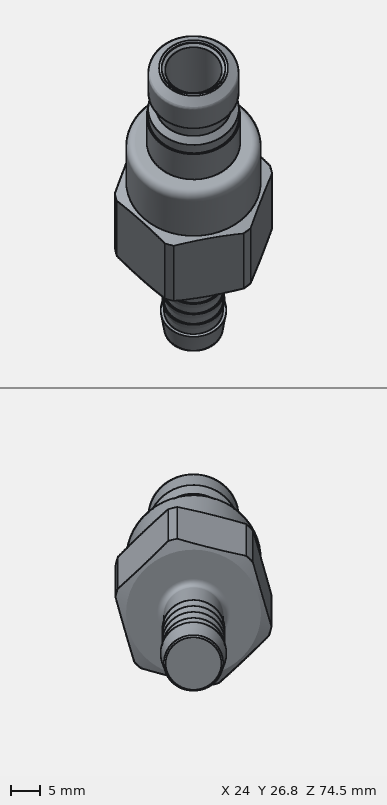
import cadquery as cq
import math

total_height = 74.5

hex_across_flats = 24.0
hex_corner_diameter = 26.8
hex_bottom = 25.1
hex_top = 42.0
hex_chamfer_angle = 15.0

collar_diameter = 22.7
collar_top = 53.4
collar_fillet = 1.5

shank_diameter = 15.8
shank_top = 60.65
nose_diameter = 15.3
groove_diameter = 12.8
groove_bottom = 63.85
groove_top = 66.8
groove_bevel_height = 0.9
rim_diameter = 11.6
rim_bevel_height = 1.2
rim_fillet = 0.6

bore_diameter = 9.5
mouth_diameter = 10.7
mouth_depth = 0.2
mouth_bevel_height = 0.4
bore_depth = 14.9

stem_diameter = 10.0
stem_fillet = 1.1
rib_diameter = 10.5
rib_height = 1.5
rib_pitch = 3.0
rib_count = 4
barb_diameter = 11.1
barb_height = 5.15
tip_chamfer = 0.3


def cylinder(diameter, bottom, top):
    """Solid cylinder on the Z axis between two heights."""
    return cq.Workplane("XY").workplane(offset=bottom).circle(diameter / 2).extrude(top - bottom)


def revolve_profile(points):
    """Solid of revolution about Z from (radius, height) points."""
    return cq.Workplane("XZ").polyline(points).close().revolve(360, (0, 0), (0, 1))


def cone(bottom_diameter, top_diameter, bottom, top):
    """Solid cone frustum on the Z axis."""
    return revolve_profile([
        (0, bottom),
        (bottom_diameter / 2, bottom),
        (top_diameter / 2, top),
        (0, top),
    ])


def make_hexagon():
    """Hexagon with corners on +Y and -Y, rounded to a circle and chamfered at both ends."""
    point_to_point = hex_across_flats / math.cos(math.radians(30))
    prism = (
        cq.Workplane("XY")
        .workplane(offset=hex_bottom)
        .transformed(rotate=(0, 0, 30))
        .polygon(6, point_to_point)
        .extrude(hex_top - hex_bottom)
    )
    face_radius = collar_diameter / 2
    corner_radius = hex_corner_diameter / 2
    drop = (corner_radius - face_radius) * math.tan(math.radians(hex_chamfer_angle))
    envelope = revolve_profile([
        (0, hex_bottom),
        (face_radius, hex_bottom),
        (corner_radius, hex_bottom + drop),
        (corner_radius, hex_top - drop),
        (face_radius, hex_top),
        (0, hex_top),
    ])
    return prism.intersect(envelope)


def make_collar():
    collar = cylinder(collar_diameter, hex_top, collar_top)
    return collar.faces(">Z").edges().fillet(collar_fillet)


def make_nose():
    """Stepped plug with a locking groove and a bevelled rim."""
    shank = cylinder(shank_diameter, collar_top, shank_top)
    rim_base = total_height - rim_bevel_height
    head = revolve_profile([
        (0, shank_top),
        (nose_diameter / 2, shank_top),
        (nose_diameter / 2, groove_bottom - groove_bevel_height),
        (groove_diameter / 2, groove_bottom),
        (groove_diameter / 2, groove_top),
        (nose_diameter / 2, groove_top + groove_bevel_height),
        (nose_diameter / 2, rim_base),
        (rim_diameter / 2, total_height),
        (0, total_height),
    ])
    rim_bevel = head.faces("%CONE").faces(">Z")
    head = rim_bevel.edges("<Z").fillet(rim_fillet)
    return shank.union(head)


def make_bore():
    """Blind bore with a shallow wider mouth that tapers into it."""
    mouth_floor = total_height - mouth_depth
    bore = cylinder(bore_diameter, total_height - bore_depth, total_height)
    mouth = cylinder(mouth_diameter, mouth_floor, total_height)
    bevel = cone(bore_diameter, mouth_diameter, mouth_floor - mouth_bevel_height, mouth_floor)
    return bore.union(bevel).union(mouth)


def make_hose_tail():
    """Stem flared into the hexagon, with saw-tooth ribs and a larger barb at its tip."""
    stem_radius = stem_diameter / 2
    tail = (
        cq.Workplane("XZ")
        .moveTo(0, 0)
        .lineTo(stem_radius - tip_chamfer, 0)
        .lineTo(stem_radius, tip_chamfer)
        .lineTo(stem_radius, hex_bottom - stem_fillet)
        .radiusArc((stem_radius + stem_fillet, hex_bottom), stem_fillet)
        .lineTo(0, hex_bottom)
        .close()
        .revolve(360, (0, 0), (0, 1))
    )
    tail = tail.union(cone(stem_diameter, barb_diameter, tip_chamfer, barb_height))
    for index in range(rib_count):
        rib_top = barb_height + (index + 1) * rib_pitch
        tail = tail.union(cone(stem_diameter, rib_diameter, rib_top - rib_height, rib_top))
    return tail


body = make_hose_tail().union(make_hexagon()).union(make_collar()).union(make_nose())
result = body.cut(make_bore())